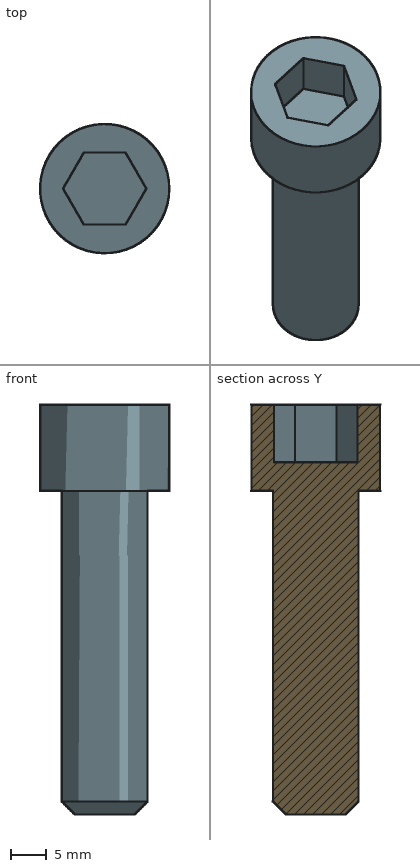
import cadquery as cq
import math

total_length = 57.0
head_diameter = 18.0
head_height = 11.95
shank_diameter = 11.95

plain_length = 9.0
tip_chamfer = 1.8

socket_sides = 6
socket_across_flats = 10.05
socket_across_corners = socket_across_flats / math.cos(math.pi / socket_sides)
socket_depth = 8.0

shank_length = total_length - head_height
thread_length = shank_length - plain_length


def make_threaded_length():
    """Thread envelope with a chamfered tip, standing on Z = 0."""
    thread = cq.Workplane("XY").circle(shank_diameter / 2).extrude(thread_length)
    return thread.faces("<Z").chamfer(tip_chamfer)


def make_plain_shank():
    """Smooth shank between the thread and the head."""
    plane = cq.Workplane("XY").workplane(offset=thread_length)
    return plane.circle(shank_diameter / 2).extrude(plain_length)


def make_head():
    """Cylindrical head on top of the shank."""
    plane = cq.Workplane("XY").workplane(offset=shank_length)
    return plane.circle(head_diameter / 2).extrude(head_height)


def make_socket():
    """Hexagonal cutter with two corners on the X axis."""
    plane = cq.Workplane("XY").workplane(offset=total_length - socket_depth)
    hexagon = plane.polygon(socket_sides, socket_across_corners)
    return hexagon.extrude(socket_depth)


screw = make_threaded_length().union(make_plain_shank(), clean=False)
screw = screw.union(make_head(), clean=False)
result = screw.cut(make_socket(), clean=False)